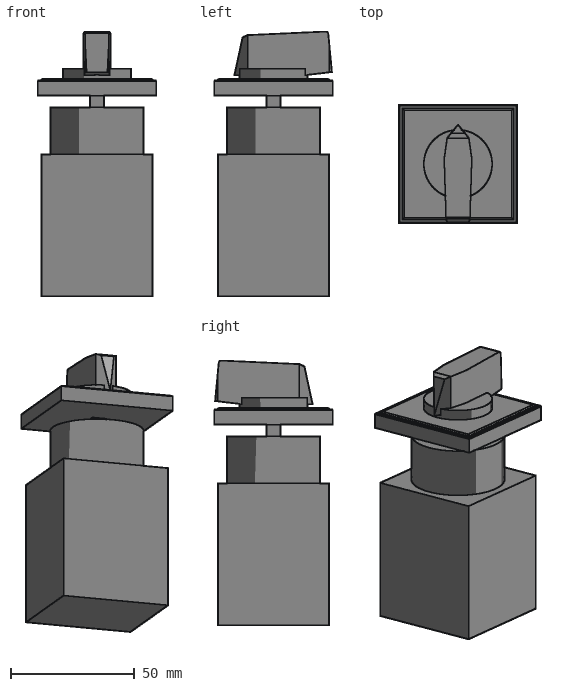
import cadquery as cq

TOTAL_HEIGHT = 107.2
BLOCK_TOP = 57.5
COLLAR_TOP = 76.5
FRAME_BOTTOM = 81.3
FRAME_TOP = 87.6
LABEL_TOP = 88.1
DISC_TOP = 92.2

BLOCK_SIDE = 45.0
COLLAR_DIAMETER = 37.8
SHAFT_SIDE = 5.8

FRAME_SIDE = 48.0
FRAME_CHAMFER = 0.4
LABEL_INSET = 1.4
LABEL_SIDE = FRAME_SIDE - 2 * LABEL_INSET
LABEL_BEVEL_WIDTH = 0.9
LABEL_BEVEL_HEIGHT = 0.4

DISC_DIAMETER = 27.7
TIP_Y = 15.9
SHOULDER_Y = 10.5
SHOULDER_HALF_WIDTH = 4.4
BULGE_FRONT_Y = 2.9
BULGE_REAR_Y = -1.5
BULGE_MIDDLE_Y = (BULGE_FRONT_Y + BULGE_REAR_Y) / 2
BULGE_END_HALF_WIDTH = 5.5
BULGE_HALF_WIDTH = 5.6
REAR_Y = -23.7
REAR_CHAMFER_Y = -22.5
REAR_HALF_WIDTH = 4.2
REAR_SIDE_HALF_WIDTH = 4.8

GRIP_BOTTOM = 89.5
NOSE_TOP_Y = 12.5
NOSE_TOP_Z = 104.8
TOP_FRONT_Z = 105.8
TOP_CREASE_Y = -19.9
TOP_REAR_Y = -21.5
BACK_TOP_Y = -22.2
BACK_TOP_Z = 106.6
BACK_BOTTOM_Z = 90.8
UNDERSIDE_START_Y = -12.9


def square_prism(side, bottom, top):
    return cq.Workplane("XY").workplane(offset=bottom).rect(side, side).extrude(top - bottom)


def cylinder(diameter, bottom, top):
    return cq.Workplane("XY").workplane(offset=bottom).circle(diameter / 2).extrude(top - bottom)


def make_frame():
    frame = square_prism(FRAME_SIDE, FRAME_BOTTOM, FRAME_TOP)
    return frame.faces(">Z").edges().chamfer(FRAME_CHAMFER)


def make_label_plate():
    plate = square_prism(LABEL_SIDE, FRAME_TOP, LABEL_TOP)
    return plate.faces(">Z").edges().chamfer(LABEL_BEVEL_HEIGHT, LABEL_BEVEL_WIDTH)


def make_grip():
    plan = (
        cq.Workplane("XY")
        .workplane(offset=GRIP_BOTTOM)
        .moveTo(0, TIP_Y)
        .lineTo(SHOULDER_HALF_WIDTH, SHOULDER_Y)
        .lineTo(BULGE_END_HALF_WIDTH, BULGE_FRONT_Y)
        .threePointArc((BULGE_HALF_WIDTH, BULGE_MIDDLE_Y), (BULGE_END_HALF_WIDTH, BULGE_REAR_Y))
        .lineTo(REAR_SIDE_HALF_WIDTH, REAR_CHAMFER_Y)
        .lineTo(REAR_HALF_WIDTH, REAR_Y)
        .lineTo(0, REAR_Y)
        .mirrorY()
        .extrude(TOTAL_HEIGHT - GRIP_BOTTOM)
    )
    profile = (
        cq.Workplane("YZ")
        .polyline([
            (TIP_Y, GRIP_BOTTOM),
            (NOSE_TOP_Y, NOSE_TOP_Z),
            (SHOULDER_Y, TOP_FRONT_Z),
            (TOP_CREASE_Y, TOTAL_HEIGHT),
            (TOP_REAR_Y, TOTAL_HEIGHT),
            (BACK_TOP_Y, BACK_TOP_Z),
            (REAR_Y, BACK_BOTTOM_Z),
            (UNDERSIDE_START_Y, GRIP_BOTTOM),
        ])
        .close()
        .extrude(BULGE_HALF_WIDTH, both=True)
    )
    return plan.intersect(profile)


def make_knob():
    return cylinder(DISC_DIAMETER, LABEL_TOP, DISC_TOP).union(make_grip())


block = square_prism(BLOCK_SIDE, 0, BLOCK_TOP)
collar = cylinder(COLLAR_DIAMETER, BLOCK_TOP, COLLAR_TOP)
shaft = square_prism(SHAFT_SIDE, COLLAR_TOP, FRAME_BOTTOM)
frame = make_frame()
label_plate = make_label_plate()
knob = make_knob()

result = cq.Compound.makeCompound([
    block.val(),
    collar.val(),
    shaft.val(),
    frame.val(),
    label_plate.val(),
    knob.solids().val(),
])